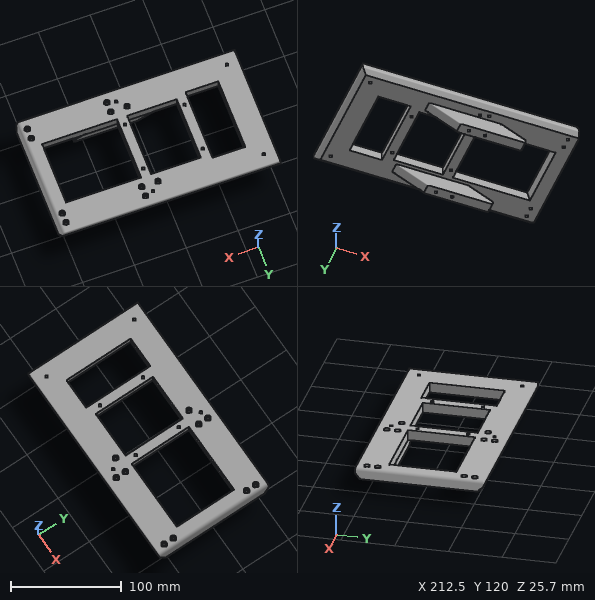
import cadquery as cq
import math

length = 212.5
width = 120.0
thickness = 10.0
total_height = 25.7
edge_chamfer = 4.7
bevel_blend = 3.0
edge_round = 1.0
nose_angle = 15.0
nose_round = 3.6

nose_lean = thickness * math.tan(math.radians(nose_angle))

windows = [
    (25.0, 56.5, 35.0, 0),
    (66.5, 114.3, 31.2, 0),
    (124.0, 196.3, 31.2, nose_lean),
]

hole_diameter = 2.5
counterbore_diameter = 5.3
counterbore_depth = 2.5
rail_hole_y = 48.0
crossbar_hole_y = 23.5
leg_hole_y = 40.1
outer_screw_y = 50.1
plain_holes = [
    (12.0, rail_hole_y),
    (118.7, rail_hole_y),
    (61.8, crossbar_hole_y),
    (119.2, crossbar_hole_y),
]
screw_holes = [
    (111.0, leg_hole_y),
    (126.8, leg_hole_y),
    (126.8, outer_screw_y),
    (203.5, leg_hole_y),
    (203.5, outer_screw_y),
]

leg_width = 10.6
leg_slope = 27.0
leg_top_start = 70.3
leg_length = 70.0
leg_tip_round = 2.1


def make_plate():
    """Plate with a bevelled, rounded rim on three sides and a leaning right end."""
    plate = cq.Workplane("XY").box(length, width, thickness, centered=(False, True, False))
    plate = plate.translate((0, 0, -thickness))

    wedge = (
        cq.Workplane("XZ")
        .polyline([(length - nose_lean, 0), (length, -thickness), (length, 0)])
        .close()
        .extrude(width / 2, both=True)
    )
    plate = plate.cut(wedge)

    plate = plate.faces("<Z").edges("not(>X)").chamfer(edge_chamfer)
    bevel_top = edge_chamfer - thickness
    half = width / 2
    margin = 0.02
    rim = cq.selectors.BoxSelector(
        (-margin, -half - margin, bevel_top - margin),
        (length, half + margin, bevel_top + margin),
        boundingbox=True,
    )
    plate = plate.edges(rim).fillet(bevel_blend)
    plate = plate.faces(">Z").edges(">X").fillet(nose_round)
    return plate.faces(">Z").edges("<X or <Y or >Y").fillet(edge_round)


def make_leg():
    """Leg centred on Y = 0, with a rounded tip and softened left edges."""
    drop = total_height - thickness
    run = drop / math.tan(math.radians(leg_slope))
    leg = (
        cq.Workplane("XZ")
        .moveTo(leg_top_start, -thickness)
        .line(leg_length, 0)
        .line(run, -drop)
        .line(-leg_length, 0)
        .close()
        .extrude(leg_width / 2, both=True)
    )
    tip = cq.selectors.NearestToPointSelector((leg_top_start + leg_length + run, 0, -total_height))
    leg = leg.edges("|Y").edges(tip).fillet(leg_tip_round)
    slanted_end = cq.selectors.NearestToPointSelector((leg_top_start + run / 2, 0, -thickness - drop / 2))
    return leg.faces(slanted_end).edges("not(|Y)").fillet(edge_round)


def make_window(left, right, half_width, undercut):
    """Cutter for one window, with the right wall parallel to the leaning end if undercut."""
    return (
        cq.Workplane("XZ")
        .polyline([(left, 0), (right, 0), (right + undercut, -thickness), (left, -thickness)])
        .close()
        .extrude(half_width, both=True)
    )


def drill(body, places, diameter, depth):
    """Drill holes down from the top face on both sides of the centre line."""
    points = [(x, side * y) for x, y in places for side in (1, -1)]
    return body.cut(cq.Workplane("XY").pushPoints(points).circle(diameter / 2).extrude(-depth))


frame = make_plate()
for side in (1, -1):
    frame = frame.union(make_leg().translate((0, side * leg_hole_y, 0)))

for window in windows:
    frame = frame.cut(make_window(*window))

frame = drill(frame, plain_holes + screw_holes, hole_diameter, total_height)
result = drill(frame, screw_holes, counterbore_diameter, counterbore_depth)